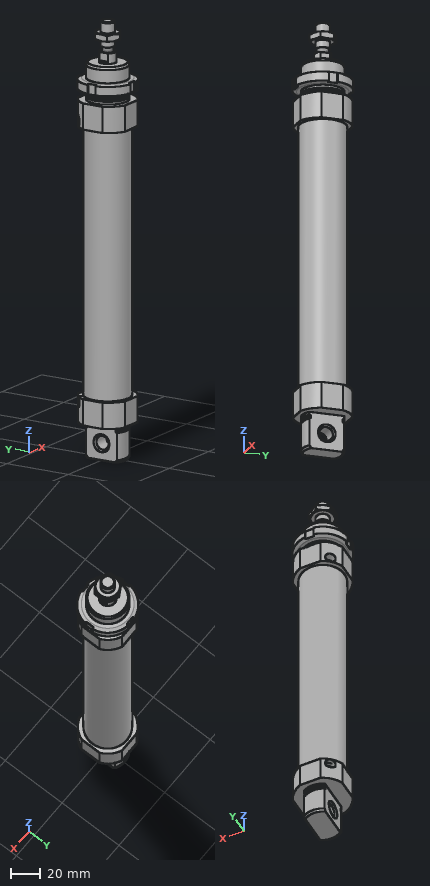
import cadquery as cq
import math


overall_length = 311.5
rear_cap_bottom = 26.2
cap_height = 18.7
front_cap_top = 255.7
collar_top = 282.2

barrel_diameter = 33.5
cap_diameter = 41.0
cap_across_flats = 38.0

port_diameter = 7.5
port_depth = 6.2
port_inset = 4.0
port_angle = 132.0

thread_diameter = 30.0
groove_diameter = 27.7
groove_rim_width = 2.8
groove_floor_width = 1.0
groove_inset = 3.5
thread_chamfer = (thread_diameter - groove_diameter) / 2
thread_chamfer_height = 2.0

eye_thickness = 16.0
eye_hole_diameter = 10.0
eye_hole_rim_diameter = 12.8
eye_hole_chamfer = (eye_hole_rim_diameter - eye_hole_diameter) / 2
eye_hole_height = 12.0

rod_diameter = 12.0
rod_bottom = front_cap_top - cap_height
rod_shoulder = 289.7
wrench_across_flats = 10.0
wrench_flat_bottom = 283.8
rod_thread_diameter = 10.0
rod_thread_bottom = 293.5
rod_neck_diameter = 8.7
rod_undercut_diameter = 8.5
rod_taper_top = 291.5
rod_taper_bottom = 290.5
rod_tip_chamfer = 0.5

ring_diameter = 42.0
ring_height = 8.5
ring_bottom = 262.5
ring_face_diameter = 36.0
ring_chamfer_height = 1.0
ring_slot_width = 6.5
ring_slot_depth = 1.5
ring_slot_count = 4

hex_across_flats = 17.0
hex_height = 5.0
hex_bottom = 298.7
hex_face_diameter = 16.8
hex_chamfer_height = 0.5


def cylinder(diameter, bottom, top):
    return cq.Workplane("XY").workplane(offset=bottom).circle(diameter / 2).extrude(top - bottom)


def rectangular_bar(width_x, width_y, bottom, top):
    return cq.Workplane("XY").workplane(offset=bottom).rect(width_x, width_y).extrude(top - bottom)


def end_cap(bottom):
    """Round cap with four flats facing +-X and +-Y."""
    top = bottom + cap_height
    flats = rectangular_bar(cap_across_flats, cap_across_flats, bottom, top)
    return cylinder(cap_diameter, bottom, top).intersect(flats)


def port(height):
    """Cutter for a blind radial port in the curved corner of a cap."""
    direction = cq.Vector(math.cos(math.radians(port_angle)), math.sin(math.radians(port_angle)), 0)
    floor = direction * (cap_diameter / 2 - port_depth) + cq.Vector(0, 0, height)
    return cq.Workplane(cq.Solid.makeCylinder(port_diameter / 2, 2 * port_depth, floor, direction))


def threaded_stub(length):
    """Stub rising from Z = 0, with a V-sided groove near its foot and a chamfered free end."""
    stub_radius = thread_diameter / 2
    groove_radius = groove_diameter / 2
    profile = [
        (0, 0),
        (stub_radius, 0),
        (stub_radius, groove_inset - groove_rim_width / 2),
        (groove_radius, groove_inset - groove_floor_width / 2),
        (groove_radius, groove_inset + groove_floor_width / 2),
        (stub_radius, groove_inset + groove_rim_width / 2),
        (stub_radius, length - thread_chamfer_height),
        (stub_radius - thread_chamfer, length),
        (0, length),
    ]
    return cq.Workplane("XZ").polyline(profile).close().revolve(360, (0, 0, 0), (0, 1, 0))


def front_collar():
    return threaded_stub(collar_top - front_cap_top).translate((0, 0, front_cap_top))


def rear_eye():
    """Round stub with two flats facing +-X and a cross hole chamfered at both ends."""
    stub = threaded_stub(rear_cap_bottom)
    eye = stub.rotate((0, 0, 0), (1, 0, 0), 180).translate((0, 0, rear_cap_bottom))
    eye = eye.intersect(rectangular_bar(eye_thickness, thread_diameter, 0, rear_cap_bottom))
    hole = (
        cq.Workplane("YZ", origin=(-eye_thickness / 2, 0, eye_hole_height))
        .circle(eye_hole_diameter / 2)
        .extrude(eye_thickness)
    )
    for side in (-1, 1):
        countersink = cq.Solid.makeCone(
            eye_hole_rim_diameter / 2,
            eye_hole_diameter / 2,
            eye_hole_chamfer,
            cq.Vector(side * eye_thickness / 2, 0, eye_hole_height),
            cq.Vector(-side, 0, 0),
        )
        hole = hole.union(cq.Workplane(countersink))
    return eye.cut(hole)


def make_housing():
    rear_cap_top = rear_cap_bottom + cap_height
    front_cap_bottom = front_cap_top - cap_height
    housing = (
        cylinder(barrel_diameter, rear_cap_top, front_cap_bottom)
        .union(end_cap(rear_cap_bottom))
        .union(end_cap(front_cap_bottom))
        .union(front_collar())
        .union(rear_eye())
    )
    for height in (rear_cap_top - port_inset, front_cap_bottom + port_inset):
        housing = housing.cut(port(height))
    return housing.cut(cylinder(rod_diameter, rod_bottom, collar_top))


def make_rod():
    shank = cylinder(rod_diameter, rod_bottom, rod_shoulder)
    flats = rectangular_bar(wrench_across_flats, rod_diameter, wrench_flat_bottom, rod_shoulder)
    shank = shank.cut(cylinder(rod_diameter, wrench_flat_bottom, rod_shoulder).cut(flats))
    undercut = cylinder(rod_undercut_diameter, rod_shoulder, rod_taper_bottom)
    taper = cq.Solid.makeCone(
        rod_undercut_diameter / 2,
        rod_neck_diameter / 2,
        rod_taper_top - rod_taper_bottom,
        cq.Vector(0, 0, rod_taper_bottom),
    )
    neck = cylinder(rod_neck_diameter, rod_taper_top, rod_thread_bottom)
    thread = cylinder(rod_thread_diameter, rod_thread_bottom, overall_length)
    thread = thread.faces(">Z").chamfer(rod_tip_chamfer)
    return shank.union(undercut).union(cq.Workplane(taper)).union(neck).union(thread)


def make_ring_nut():
    ring_top = ring_bottom + ring_height
    ring = cylinder(ring_diameter, ring_bottom, ring_top)
    chamfer_width = (ring_diameter - ring_face_diameter) / 2
    ring = ring.faces("<Z or >Z").chamfer(ring_chamfer_height, chamfer_width)
    ring = ring.cut(cylinder(thread_diameter, ring_bottom, ring_top))
    slots = (
        cq.Workplane("XY", origin=(0, 0, ring_bottom))
        .polarArray(ring_diameter / 2, 0, 360, ring_slot_count)
        .rect(2 * ring_slot_depth, ring_slot_width)
        .extrude(ring_height)
    )
    return ring.cut(slots)


def make_lock_nut():
    """Hexagonal nut with two corners on the Y axis, its corners chamfered at both faces."""
    corner_diameter = hex_across_flats / math.cos(math.pi / 6)
    hexagon = (
        cq.Workplane("XY", origin=(0, 0, hex_bottom))
        .transformed(rotate=(0, 0, 90))
        .polygon(6, corner_diameter)
        .extrude(hex_height)
    )
    hex_top = hex_bottom + hex_height
    chamfer_width = (corner_diameter - hex_face_diameter) / 2
    envelope = cylinder(corner_diameter, hex_bottom, hex_top)
    envelope = envelope.faces("<Z or >Z").chamfer(hex_chamfer_height, chamfer_width)
    return hexagon.intersect(envelope).cut(cylinder(rod_thread_diameter, hex_bottom, hex_top))


housing = make_housing()
rod = make_rod()
ring_nut = make_ring_nut()
lock_nut = make_lock_nut()

result = cq.Compound.makeCompound([housing.val(), rod.val(), ring_nut.val(), lock_nut.val()])